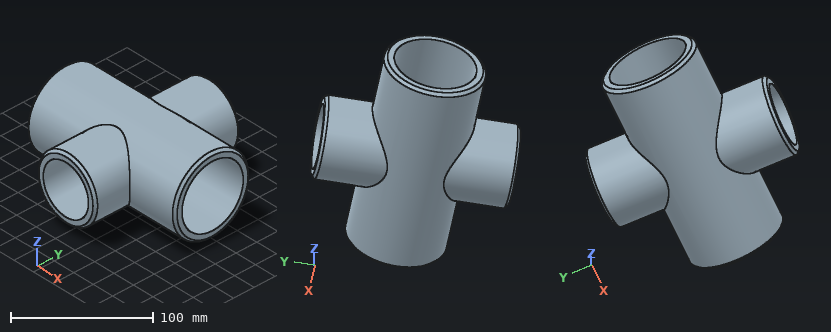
import cadquery as cq

run_length = 152.4
run_outer_diameter = 73.0
run_bore_diameter = 59.0

branch_span = 139.8
branch_outer_diameter = 60.4
branch_bore_diameter = 46.5

end_chamfer = 2.3


def centred_cylinder(plane, diameter, length):
    """Solid cylinder along the plane's normal, centred on the origin."""
    return cq.Workplane(plane).circle(diameter / 2).extrude(length / 2, both=True)


def chamfered_bar(plane, axis, diameter, length):
    """Centred cylinder with both outer end edges chamfered."""
    bar = centred_cylinder(plane, diameter, length)
    return bar.faces(f"<{axis} or >{axis}").edges().chamfer(end_chamfer)


run = chamfered_bar("YZ", "X", run_outer_diameter, run_length)
branches = chamfered_bar("XZ", "Y", branch_outer_diameter, branch_span)
body = run.union(branches)

run_bore = centred_cylinder("YZ", run_bore_diameter, run_length)
branch_bore = centred_cylinder("XZ", branch_bore_diameter, branch_span)
result = body.cut(run_bore).cut(branch_bore)